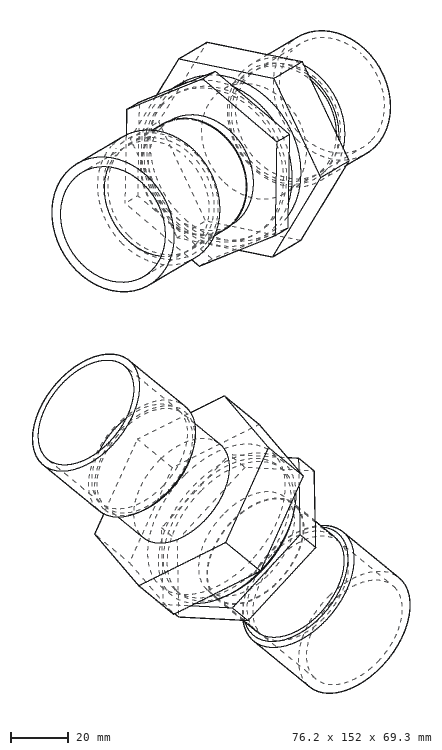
import cadquery as cq

LENGTH = 152.0

TUBE_DIAMETER = 42.0
COLLAR_DIAMETER = 60.4
NECK_DIAMETER = 56.0
NUT_ACROSS_CORNERS = 69.3
NUT_TURN = 1.1
HEX_ACROSS_CORNERS = 76.2
HEX_TURN = 0.5
NUT_START = 61.1
NUT_WIDTH = 8.8
NECK_WIDTH = 2.1
COLLAR_WIDTH = 6.1
HEX_WIDTH = 19.8
NECK_START = NUT_START + NUT_WIDTH
COLLAR_START = NECK_START + NECK_WIDTH
HEX_START = COLLAR_START + COLLAR_WIDTH

SLEEVE_LENGTH = 33.3
SLEEVE_CHAMFER = 1.5
SOCKET_DEPTH = 30.4
FRONT_SLEEVE_DIAMETER = 49.0
REAR_SLEEVE_DIAMETER = 47.0
FRONT_SKIRT_DIAMETER = 42.5
FRONT_SKIRT_LENGTH = 22.8


def section_plane(station):
    """Plane across the axis, facing the rear (+Y); its local X is global X."""
    return cq.Workplane(cq.Plane((0, station, 0), xDir=(1, 0, 0), normal=(0, 1, 0)))


def disc(diameter, start, length):
    return section_plane(start).circle(diameter / 2).extrude(length)


def hexagon(across_corners, start, length, turn):
    """Hexagonal prism with corners on local X, then turned about the Y axis."""
    prism = section_plane(start).polygon(6, across_corners).extrude(length)
    return prism.rotate((0, 0, 0), (0, 1, 0), turn)


def make_core():
    tube = disc(TUBE_DIAMETER, SOCKET_DEPTH, LENGTH - 2 * SOCKET_DEPTH)
    nut = hexagon(NUT_ACROSS_CORNERS, NUT_START, NUT_WIDTH, 90 + NUT_TURN)
    neck = disc(NECK_DIAMETER, NECK_START, NECK_WIDTH)
    collar = disc(COLLAR_DIAMETER, COLLAR_START, COLLAR_WIDTH)
    large_hex = hexagon(HEX_ACROSS_CORNERS, HEX_START, HEX_WIDTH, HEX_TURN)
    return tube.union(nut).union(neck).union(collar).union(large_hex)


def make_front_sleeve():
    sleeve = disc(FRONT_SLEEVE_DIAMETER, 0, SLEEVE_LENGTH).faces(">Y").chamfer(SLEEVE_CHAMFER)
    full_length = SLEEVE_LENGTH + FRONT_SKIRT_LENGTH
    skirt = disc(FRONT_SKIRT_DIAMETER, 0, full_length)
    bore = disc(TUBE_DIAMETER, 0, full_length)
    return sleeve.union(skirt).cut(bore)


def make_rear_sleeve():
    start = LENGTH - SLEEVE_LENGTH
    sleeve = disc(REAR_SLEEVE_DIAMETER, start, SLEEVE_LENGTH).faces("<Y").chamfer(SLEEVE_CHAMFER)
    bore = disc(TUBE_DIAMETER, start, SLEEVE_LENGTH)
    return sleeve.cut(bore)


core = make_core()
front_sleeve = make_front_sleeve()
rear_sleeve = make_rear_sleeve()

result = cq.Compound.makeCompound([core.val(), front_sleeve.val(), rear_sleeve.val()])